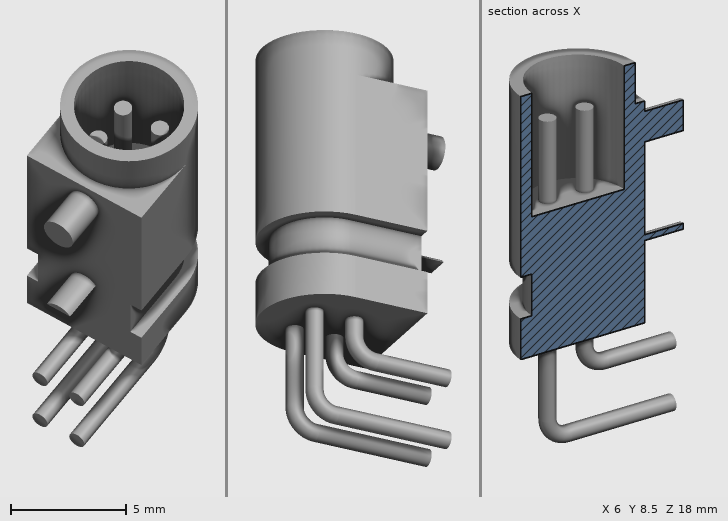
import cadquery as cq

overall_height = 18.0
housing_width = 6.0
post_length = 2.0

pin_radius = 0.4
pin_pitch = 1.93
pin_tip_recess = 2.0
bend_radius = 1.0
front_lead_drop = 1.8
rear_lead_drop = 4.8

housing_radius = housing_width / 2
housing_height = overall_height - rear_lead_drop - pin_radius
front_offset = 3.5
front_y = -front_offset
lead_end_y = front_y - post_length
collar_height = 2.0
block_height = housing_height - collar_height
bore_radius = 2.4
bore_depth = 6.0

groove_bottom = 2.0
groove_height = 2.0
groove_top = groove_bottom + groove_height
groove_depth = 0.58

post_radius = 0.75
upper_post_drop = 1.26
upper_post_z = block_height - upper_post_drop
post_spacing = 6.0
lower_post_z = upper_post_z - post_spacing


def u_prism(radius, bottom, height):
    """Prism with a flat front, straight sides and a half-round back."""
    return (
        cq.Workplane("XY", origin=(0, 0, bottom))
        .moveTo(-radius, front_y)
        .lineTo(radius, front_y)
        .lineTo(radius, 0)
        .threePointArc((0, radius), (-radius, 0))
        .close()
        .extrude(height)
    )


def make_post(height):
    """Round post standing on the front face at the given height."""
    return cq.Workplane("XZ", origin=(0, front_y, height)).circle(post_radius).extrude(post_length)


def make_lower_post():
    """Crest of a round post, cut flat level with the top of the groove."""
    keep = cq.Workplane("XY", origin=(0, front_y - post_length / 2, groove_top)).box(
        2 * post_radius, post_length, 2 * post_radius, centered=(True, True, False)
    )
    return make_post(lower_post_z).intersect(keep)


def make_housing():
    base = u_prism(housing_radius, 0, groove_bottom)
    neck = u_prism(housing_radius - groove_depth, groove_bottom, groove_height)
    block = u_prism(housing_radius, groove_top, block_height - groove_top)
    collar = (
        cq.Workplane("XY", origin=(0, 0, block_height))
        .circle(housing_radius)
        .extrude(collar_height)
    )
    bore = (
        cq.Workplane("XY", origin=(0, 0, housing_height - bore_depth))
        .circle(bore_radius)
        .extrude(bore_depth)
    )
    pin_holes = (
        cq.Workplane("XY")
        .rect(pin_pitch, pin_pitch, forConstruction=True)
        .vertices()
        .circle(pin_radius)
        .extrude(housing_height)
    )
    body = base.union(neck).union(block).union(collar)
    body = body.union(make_post(upper_post_z)).union(make_lower_post())
    return body.cut(bore).cut(pin_holes)


def make_pin(x, y, lead_drop):
    """Round pin that runs down from its tip and bends a quarter turn to the front."""
    tip_z = housing_height - pin_tip_recess
    bend_start_z = bend_radius - lead_drop
    path = (
        cq.Workplane("YZ", origin=(x, 0, 0))
        .moveTo(y, tip_z)
        .lineTo(y, bend_start_z)
        .radiusArc((y - bend_radius, -lead_drop), bend_radius)
        .lineTo(lead_end_y, -lead_drop)
    )
    return cq.Workplane("XY", origin=(x, y, tip_z)).circle(pin_radius).sweep(path)


housing = make_housing()

pins = []
for x in (-pin_pitch / 2, pin_pitch / 2):
    pins.append(make_pin(x, -pin_pitch / 2, front_lead_drop))
    pins.append(make_pin(x, pin_pitch / 2, rear_lead_drop))

result = cq.Compound.makeCompound([housing.solids().val(), *[pin.val() for pin in pins]])